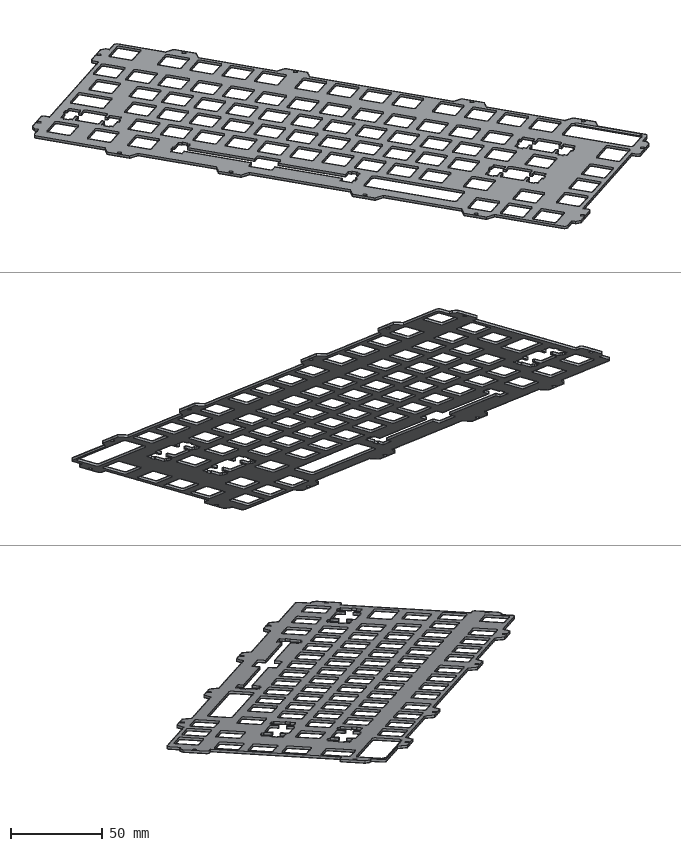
import cadquery as cq


length = 323.5
width = 133.0
thickness = 1.5
side_tab_reach = 4.5
body_length = length - 2 * side_tab_reach
body_width = 123.5
body_corner_radius = 2.0

tab_hole_diameter = 2.2
tab_hole_margin = 1.5
end_tab_base = 19.5
end_tab_tip = 13.3
top_tab_places = (52.0, 117.7)
bottom_tab_places = (39.5, 105.0)
side_tab_width = 16.8
side_tab_place = 45.3
side_tab_inner_radius = 1.5
side_tab_outer_chamfer = 2.3

key_size = 14.0
opening_corner_radius = 1.0
columns_span_units = 15.5
columns_span = 295.2
pitch = columns_span / columns_span_units
function_row_y = 52.5
last_column = columns_span_units

backspace_column = 13.5
enter_column = 13.375
shift_column = 0.625
space_column = 6.375

number_row = 1.25
upper_row = 2.25
home_row = 3.25
lower_row = 4.25
bottom_row = 5.25
arrow_drop = 0.25

stabilizer_offset = 12.0
stabilizer_slot_width = 6.8
stabilizer_slot_top = 5.5
stabilizer_slot_bottom = 6.8
stabilizer_foot_width = 3.05
stabilizer_foot_bottom = 7.8
stabilizer_notch_depth = 0.87
stabilizer_notch_top = 2.3
stabilizer_notch_bottom = 0.5
stabilizer_channel_width = 4.5
space_offset_units = 2.625
space_channel_width = 5.0

window_length = 41.7
window_width = 16.0
window_chamfer = 0.8
wide_corner_radius = 1.5
bottom_slot_length = 54.5
bottom_slot_column = 11.0
caps_opening_length = 19.7
caps_column = 0.375
tall_opening_height = 16.5
tall_opening_y = 33.0


def column_x(units):
    return -columns_span / 2 + units * pitch


def row_y(units):
    return function_row_y - units * pitch


def run(first, count):
    """Columns of neighbouring keys, one unit apart."""
    return [first + step for step in range(count)]


def block(x_min, x_max, y_min, y_max):
    """Block through the full sheet thickness."""
    return (
        cq.Workplane("XY")
        .center((x_min + x_max) / 2, (y_min + y_max) / 2)
        .rect(x_max - x_min, y_max - y_min)
        .extrude(thickness)
    )


def opening(x, y, size_x, size_y):
    return block(x - size_x / 2, x + size_x / 2, y - size_y / 2, y + size_y / 2)


def end_tab(x, side):
    """Tapered tab on the long edge on side = +1 (top) or -1 (bottom)."""
    tip_y = side * width / 2
    root_y = side * (body_width / 2 - body_corner_radius)
    base_y = side * body_width / 2
    outline = [
        (x - end_tab_base / 2, root_y),
        (x - end_tab_base / 2, base_y),
        (x - end_tab_tip / 2, tip_y),
        (x + end_tab_tip / 2, tip_y),
        (x + end_tab_base / 2, base_y),
        (x + end_tab_base / 2, root_y),
    ]
    return cq.Workplane("XY").polyline(outline).close().extrude(thickness)


def sheet():
    plate = (
        cq.Workplane("XY")
        .rect(body_length, body_width)
        .extrude(thickness)
        .edges("|Z")
        .fillet(body_corner_radius)
    )
    holes = []
    hole_y = width / 2 - tab_hole_margin
    for side, places in ((1, top_tab_places), (-1, bottom_tab_places)):
        for place in places:
            for x in (-place, place):
                plate = plate.union(end_tab(x, side))
                holes.append((x, side * hole_y))

    for y in (-side_tab_place, side_tab_place):
        outer, inner = (">Y", "<Y") if y > 0 else ("<Y", ">Y")
        bar = opening(0, y, length, side_tab_width)
        bar = bar.faces(outer).edges("|Z").chamfer(side_tab_outer_chamfer)
        bar = bar.faces(inner).edges("|Z").fillet(side_tab_inner_radius)
        plate = plate.union(bar)
        for side in (-1, 1):
            holes.append((side * (length / 2 - tab_hole_margin), y))

    drills = cq.Workplane("XY").pushPoints(holes).circle(tab_hole_diameter / 2).extrude(thickness)
    return plate.cut(drills)


def key_openings():
    rows = (
        (0, run(0, 1) + run(1.5, 4) + run(5.75, 4) + run(10, 4)),
        (number_row, run(0, 13) + [backspace_column]),
        (upper_row, [0.25] + run(1.5, 12) + [13.75, last_column]),
        (home_row, run(1.75, 11) + [enter_column, last_column]),
        (lower_row, [shift_column] + run(2.25, 10) + [12.625, last_column]),
        (lower_row + arrow_drop, [14.25]),
        (bottom_row, [0.125, 1.375, 2.625, space_column]),
        (bottom_row + arrow_drop, run(13.25, 3)),
    )
    centres = [(column_x(column), row_y(row)) for row, columns in rows for column in columns]
    keys = cq.Workplane("XY").pushPoints(centres).rect(key_size, key_size).extrude(thickness)
    return keys.edges("|Z").fillet(opening_corner_radius)


def stabilizer(offset, channel_width):
    """Pair of stabilizer slots joined through the key by a channel."""
    slot_half = stabilizer_slot_width / 2
    foot_half = stabilizer_foot_width / 2
    notch_end = offset + slot_half + stabilizer_notch_depth
    cutter = opening(0, 0, 2 * offset, channel_width)
    for side in (-1, 1):
        x = side * offset
        slot = block(x - slot_half, x + slot_half, -stabilizer_slot_bottom, stabilizer_slot_top)
        foot = block(x - foot_half, x + foot_half, -stabilizer_foot_bottom, 0)
        notch_ends = sorted((x, side * notch_end))
        notch = block(*notch_ends, -stabilizer_notch_bottom, stabilizer_notch_top)
        cutter = cutter.union(slot).union(foot).union(notch)
    return cutter


def place_on_key(cutter, column, row):
    return cutter.translate((column_x(column), row_y(row), 0))


def stabilizer_openings():
    key_stabilizer = stabilizer(stabilizer_offset, stabilizer_channel_width)
    space = stabilizer(space_offset_units * pitch, space_channel_width)
    space = space.rotate((0, 0, 0), (0, 0, 1), 180)
    cutters = place_on_key(space, space_column, bottom_row)
    stabilized_keys = (
        (backspace_column, number_row),
        (enter_column, home_row),
        (shift_column, lower_row),
    )
    for column, row in stabilized_keys:
        cutters = cutters.union(place_on_key(key_stabilizer, column, row))
    return cutters


def special_openings():
    right_edge = column_x(last_column) + key_size / 2

    window_x = right_edge - window_length / 2
    window = opening(window_x, function_row_y, window_length, window_width)
    window = window.edges("|Z").fillet(wide_corner_radius)
    wall_y = function_row_y + window_width / 2
    bevel_length = window_length - 2 * wide_corner_radius
    bevel = (
        cq.Workplane("YZ", origin=(window_x, 0, 0))
        .moveTo(wall_y, thickness)
        .lineTo(wall_y + window_chamfer, thickness)
        .lineTo(wall_y, thickness - window_chamfer)
        .close()
        .extrude(bevel_length / 2, both=True)
    )

    bottom_slot = opening(
        column_x(bottom_slot_column), row_y(bottom_row), bottom_slot_length, key_size
    )
    bottom_slot = bottom_slot.edges("|Z").fillet(wide_corner_radius)

    caps_x = column_x(caps_column) + (key_size - caps_opening_length) / 2
    caps = opening(caps_x, row_y(home_row), caps_opening_length, key_size)
    caps = caps.edges("|Z").fillet(opening_corner_radius)

    tall = opening(column_x(last_column), tall_opening_y, key_size, tall_opening_height)
    tall = tall.edges("|Z").fillet(opening_corner_radius)
    return window.union(bevel), bottom_slot, caps, tall


result = sheet().cut(key_openings()).cut(stabilizer_openings())
for cutter in special_openings():
    result = result.cut(cutter)